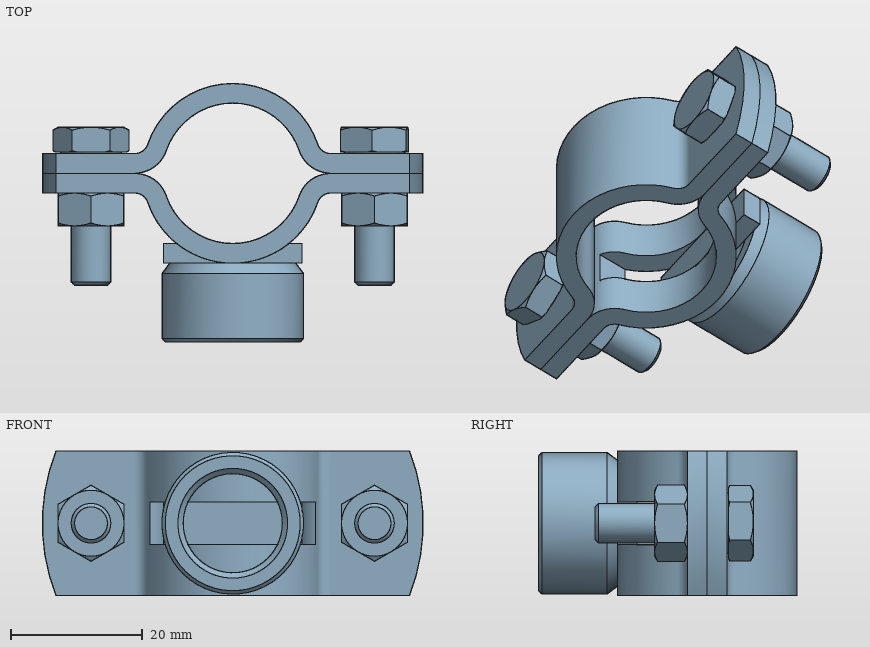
import cadquery as cq
import math


clamp_length = 57.85
clamp_height = 22.0
strip_thickness = 3.0
pipe_radius = 10.65
ring_radius = pipe_radius + strip_thickness
bend_radius = 2.1
flange_corner_x = 26.85
slot_half_width = 12.55
slot_height = 6.5

bolt_spacing = 43.0
bolt_radius = 3.0
bolt_end_depth = 17.0
bolt_end_chamfer = 0.5
hex_across_flats = 10.0
hex_corner_radius = hex_across_flats / math.sqrt(3)
hex_chamfer_angle = math.radians(30)
head_height = 4.0
washer_face_height = 0.2
washer_face_radius = 4.6
head_seat_radius = 5.4
nut_height = 5.0
left_head_turn = 0.0
right_head_turn = 26.5
nut_turn = 30.0

bushing_length = 11.95
bushing_radius = 10.75
bushing_neck_radius = 9.6
bushing_neck_length = 1.55
bushing_rim_chamfer = 0.5
bushing_bore_radius = 7.5
bore_chamfer = 0.8
bar_length = 21.05

bend_center_y = strip_thickness + bend_radius
bend_center_x = math.sqrt((ring_radius + bend_radius) ** 2 - bend_center_y**2)
bend_angle = math.atan2(bend_center_y, bend_center_x)


def ring_point(radius, angle):
    """Point on a circle about the pipe axis."""
    return (radius * math.cos(angle), radius * math.sin(angle))


def bend_point(radius, angle):
    """Point on a circle about the centre of the bend at +X."""
    return (bend_center_x + radius * math.cos(angle), bend_center_y + radius * math.sin(angle))


def mirrored(point):
    """The same point on the -X side."""
    return (-point[0], point[1])


def make_clamp_half():
    """Half of the clamp on the +Y side, with rounded flange ends and bolt holes."""
    tip_x = clamp_length / 2
    outside_bend = bend_radius + strip_thickness
    ring_end = bend_angle + math.pi
    flange_end = 3 * math.pi / 2
    bend_middle = (ring_end + flange_end) / 2
    ring_outer = ring_point(ring_radius, bend_angle)
    ring_inner = ring_point(pipe_radius, bend_angle)
    outer_middle = bend_point(bend_radius, bend_middle)
    inner_middle = bend_point(outside_bend, bend_middle)

    strip = (
        cq.Workplane("XY")
        .moveTo(tip_x, 0)
        .lineTo(tip_x, strip_thickness)
        .lineTo(bend_center_x, strip_thickness)
        .threePointArc(outer_middle, ring_outer)
        .threePointArc((0, ring_radius), mirrored(ring_outer))
        .threePointArc(mirrored(outer_middle), (-bend_center_x, strip_thickness))
        .lineTo(-tip_x, strip_thickness)
        .lineTo(-tip_x, 0)
        .lineTo(-bend_center_x, 0)
        .threePointArc(mirrored(inner_middle), mirrored(ring_inner))
        .threePointArc((0, pipe_radius), ring_inner)
        .threePointArc(inner_middle, (bend_center_x, 0))
        .close()
        .extrude(clamp_height / 2, both=True)
    )
    outline = (
        cq.Workplane("XZ")
        .moveTo(-flange_corner_x, -clamp_height / 2)
        .lineTo(flange_corner_x, -clamp_height / 2)
        .threePointArc((tip_x, 0), (flange_corner_x, clamp_height / 2))
        .lineTo(-flange_corner_x, clamp_height / 2)
        .threePointArc((-tip_x, 0), (-flange_corner_x, -clamp_height / 2))
        .close()
        .extrude(ring_radius, both=True)
    )
    bolt_holes = (
        cq.Workplane("XZ")
        .pushPoints([(-bolt_spacing / 2, 0), (bolt_spacing / 2, 0)])
        .circle(bolt_radius)
        .extrude(-strip_thickness)
    )
    return strip.intersect(outline).cut(bolt_holes)


def make_front_half():
    """Clamp half on the -Y side, with the slot that takes the bar of the bushing."""
    slot = cq.Workplane("XY").box(
        2 * slot_half_width, ring_radius, slot_height, centered=(True, False, True)
    )
    return make_clamp_half().mirror("XZ").cut(slot.translate((0, -ring_radius, 0)))


def corner_cut_depth(end_radius):
    """Depth of the shallow cone that leaves a circle of end_radius on the end of a hexagon."""
    return (hex_corner_radius - end_radius) * math.tan(hex_chamfer_angle)


def make_hexagon(start_y, end_y, turn, start_radius):
    """Hexagonal prism along Y whose corners are cut by a shallow cone at each end.

    Without turn, two corners point along X.
    """
    end_radius = hex_across_flats / 2
    prism = (
        cq.Workplane("XZ", origin=(0, end_y, 0))
        .polygon(6, 2 * hex_corner_radius)
        .extrude(end_y - start_y)
        .rotate((0, 0, 0), (0, 1, 0), turn)
    )
    envelope = (
        cq.Workplane("XY")
        .moveTo(0, start_y)
        .lineTo(start_radius, start_y)
        .lineTo(hex_corner_radius, start_y + corner_cut_depth(start_radius))
        .lineTo(hex_corner_radius, end_y - corner_cut_depth(end_radius))
        .lineTo(end_radius, end_y)
        .lineTo(0, end_y)
        .close()
        .revolve(360, (0, 0, 0), (0, 1, 0))
    )
    return prism.intersect(envelope)


def make_bolt(x, head_turn):
    """Hex bolt pointing along -Y, with its head on the rear half."""
    seat_y = strip_thickness
    head_bottom_y = seat_y + washer_face_height
    head = make_hexagon(head_bottom_y, seat_y + head_height, head_turn, head_seat_radius)
    washer_face = (
        cq.Workplane("XZ", origin=(0, head_bottom_y, 0))
        .circle(washer_face_radius)
        .extrude(washer_face_height)
    )
    shank = (
        cq.Workplane("XZ", origin=(0, head_bottom_y, 0))
        .circle(bolt_radius)
        .extrude(head_bottom_y + bolt_end_depth)
        .faces("<Y")
        .chamfer(bolt_end_chamfer)
    )
    return head.union(washer_face).union(shank).translate((x, 0, 0))


def make_nut(x):
    """Hex nut seated on the front half, chamfered at both ends."""
    seat_y = -strip_thickness
    body = make_hexagon(seat_y - nut_height, seat_y, nut_turn, hex_across_flats / 2)
    bore = cq.Workplane("XZ", origin=(0, seat_y, 0)).circle(bolt_radius).extrude(nut_height)
    return body.cut(bore).translate((x, 0, 0))


def make_bushing():
    """Round bushing on the front of the ring, with the bar that fills part of the slot."""
    back_y = -ring_radius
    front_y = back_y - bushing_length
    sleeve = (
        cq.Workplane("XY")
        .moveTo(bushing_bore_radius, back_y)
        .lineTo(bushing_neck_radius, back_y)
        .lineTo(bushing_radius, back_y - bushing_neck_length)
        .lineTo(bushing_radius, front_y + bushing_rim_chamfer)
        .lineTo(bushing_radius - bushing_rim_chamfer, front_y)
        .lineTo(bushing_bore_radius + bore_chamfer, front_y)
        .lineTo(bushing_bore_radius, front_y + bore_chamfer)
        .close()
        .revolve(360, (0, 0, 0), (0, 1, 0))
    )
    bar = cq.Workplane("XY").box(
        bar_length, strip_thickness, slot_height, centered=(True, False, True)
    )
    return sleeve.union(bar.translate((0, back_y, 0)))


rear_half = make_clamp_half()
front_half = make_front_half()
bushing = make_bushing()

bolts = []
nuts = []
for bolt_x, head_turn in [
    (-bolt_spacing / 2, left_head_turn),
    (bolt_spacing / 2, right_head_turn),
]:
    bolts.append(make_bolt(bolt_x, head_turn).val())
    nuts.append(make_nut(bolt_x).val())

result = cq.Compound.makeCompound([rear_half.val(), front_half.val(), bushing.val(), *bolts, *nuts])